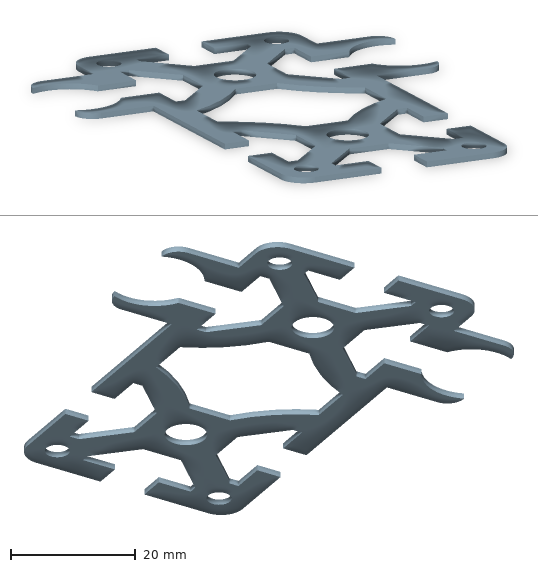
import cadquery as cq
import math

length = 80.0
width = 40.0
thickness = 1.0
corner_radius = 4.0
cell_offset = length / 4
cell_half = width / 2

core_hole_diameter = 6.8
corner_hole_diameter = 4.0
corner_hole_inset = 5.0

mouth_half = 4.1
long_side_lip = 4.3
short_side_lip = 4.6
slot_floor = 7.5
floor_half = 3.5
slot_half = 10.0

opening_half_length = cell_offset - slot_floor
opening_half_width = 15.1
end_wall_half = 3.8
side_wall_half = 3.8
wall_arc_bulge = 0.9

clip_tip = 65.0 / 2
clip_half_width = 10.6
clip_bore_radius = 8.0
clip_bore_offset = 29.4
tip_radius = 3.1


def slot(lip, angle, cell_x):
    """T-slot cutter opening in the direction given by angle."""
    lip_inner = cell_half - lip
    shoulder = slot_floor + slot_half - floor_half
    half_outline = [
        (floor_half, slot_floor),
        (slot_half, shoulder),
        (slot_half, lip_inner),
        (mouth_half, lip_inner),
        (mouth_half, cell_half),
    ]
    mirrored = [(-x, y) for x, y in reversed(half_outline)]
    cutter = cq.Workplane("XY").polyline(half_outline + mirrored).close().extrude(thickness)
    return cutter.rotate((0, 0, 0), (0, 0, 1), angle).translate((cell_x, 0, 0))


def clip_pair():
    """Two arms gripping a round bore, on the +Y side of the left cell."""
    tip_x = math.sqrt(clip_bore_radius**2 - (clip_tip - clip_bore_offset) ** 2)
    bore_end = clip_bore_offset - math.sqrt(clip_bore_radius**2 - mouth_half**2)
    arc_corner = clip_half_width - tip_radius * (1 - math.sqrt(0.5))
    arc_height = clip_tip - tip_radius * (1 - math.sqrt(0.5))
    arm = (
        cq.Workplane("XY")
        .moveTo(mouth_half, cell_half - long_side_lip)
        .lineTo(mouth_half, bore_end)
        .threePointArc((clip_bore_radius, clip_bore_offset), (tip_x, clip_tip))
        .lineTo(clip_half_width - tip_radius, clip_tip)
        .threePointArc((arc_corner, arc_height), (clip_half_width, clip_tip - tip_radius))
        .lineTo(clip_half_width, cell_half)
        .lineTo(slot_half, cell_half - long_side_lip)
        .close()
        .extrude(thickness)
    )
    return arm.union(arm.mirror("YZ")).translate((-cell_offset, 0, 0))


def central_opening():
    """Eight-sided opening whose four diagonal walls bow inwards."""
    def bowed_wall(sketch, start, end):
        mid_x = (start[0] + end[0]) / 2
        mid_y = (start[1] + end[1]) / 2
        rise_x = abs(start[0] - end[0])
        rise_y = abs(start[1] - end[1])
        chord = math.hypot(rise_x, rise_y)
        bow_x = math.copysign(wall_arc_bulge * rise_y / chord, mid_x)
        bow_y = math.copysign(wall_arc_bulge * rise_x / chord, mid_y)
        return sketch.threePointArc((mid_x - bow_x, mid_y - bow_y), end)

    sketch = cq.Workplane("XY").moveTo(opening_half_length, side_wall_half)
    for sx, sy in [(1, 1), (-1, 1), (-1, -1), (1, -1)]:
        side = (sx * opening_half_length, sy * side_wall_half)
        end = (sx * end_wall_half, sy * opening_half_width)
        start, finish = (side, end) if sx == sy else (end, side)
        if start != (opening_half_length, side_wall_half):
            sketch = sketch.lineTo(*start)
        sketch = bowed_wall(sketch, start, finish)
    return sketch.close().extrude(thickness)


plate = cq.Workplane("XY").rect(length, width).extrude(thickness)
plate = plate.edges("|Z").fillet(corner_radius)
upper_clip = clip_pair()
plate = plate.union(upper_clip).union(upper_clip.mirror("XZ"))

for cell_x, outward_angle in [(-cell_offset, 90), (cell_offset, -90)]:
    plate = plate.cut(slot(long_side_lip, 0, cell_x))
    plate = plate.cut(slot(long_side_lip, 180, cell_x))
    plate = plate.cut(slot(short_side_lip, outward_angle, cell_x))

plate = plate.cut(central_opening())

core_holes = (
    cq.Workplane("XY")
    .pushPoints([(-cell_offset, 0), (cell_offset, 0)])
    .circle(core_hole_diameter / 2)
    .extrude(thickness)
)
corner_holes = (
    cq.Workplane("XY")
    .rect(length - 2 * corner_hole_inset, width - 2 * corner_hole_inset, forConstruction=True)
    .vertices()
    .circle(corner_hole_diameter / 2)
    .extrude(thickness)
)
result = plate.cut(core_holes).cut(corner_holes)